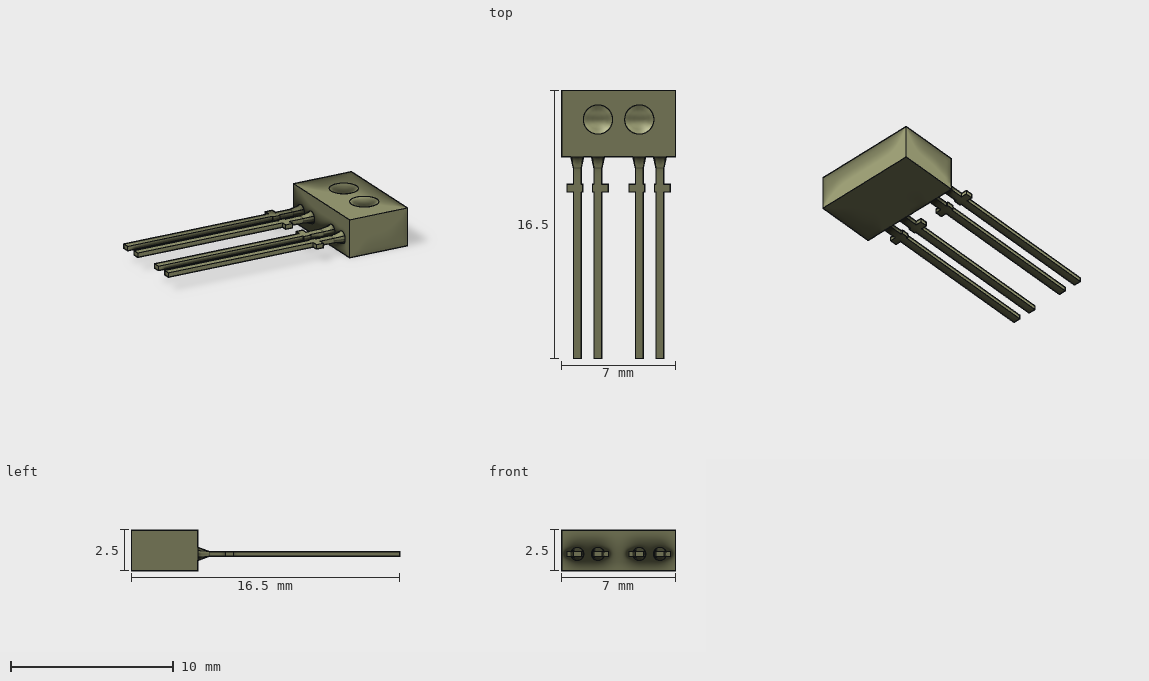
import cadquery as cq

HOUSING_WIDTH = 7.0
HOUSING_DEPTH = 4.1
HOUSING_HEIGHT = 2.5

LENS_DIAMETER = 1.8
LENS_RECESS_DEPTH = 0.23
LENS_FROM_BACK = 1.8

LEAD_PITCH = 1.27
LEAD_LENGTH = 16.5 - HOUSING_DEPTH
LEAD_WIDTH = 0.5
LEAD_THICKNESS = 0.3
LEAD_HEIGHT = 1.04

COLLAR_DIAMETER = 0.81
COLLAR_LENGTH = 0.7

TAB_START = 1.68
TAB_LENGTH = 0.5
TAB_LONG_REACH = 0.4
TAB_SHORT_REACH = 0.1

LEAD_LAYOUT = [(-2, -1), (-1, 1), (1, -1), (2, 1)]


def make_housing():
    """Rectangular block with two dished lens recesses, one per lead pair."""
    body = cq.Workplane("XY").box(
        HOUSING_WIDTH, HOUSING_DEPTH, HOUSING_HEIGHT, centered=(True, False, False)
    )
    lens_radius = LENS_DIAMETER / 2
    sphere_radius = (lens_radius**2 + LENS_RECESS_DEPTH**2) / (2 * LENS_RECESS_DEPTH)
    lens_y = HOUSING_DEPTH - LENS_FROM_BACK
    sphere_z = HOUSING_HEIGHT - LENS_RECESS_DEPTH + sphere_radius
    for side in (-1, 1):
        dish = cq.Workplane("XY").sphere(sphere_radius)
        body = body.cut(dish.translate((side * LEAD_PITCH, lens_y, sphere_z)))
    return body


def make_collar():
    """Loft from the round root on the housing face to the lead section."""
    return (
        cq.Workplane("XZ")
        .circle(COLLAR_DIAMETER / 2)
        .workplane(offset=COLLAR_LENGTH)
        .rect(LEAD_WIDTH, LEAD_THICKNESS)
        .loft(ruled=True)
    )


def make_lead(pitch_count, tab_side):
    """One lead with its collar and its offset stop tab."""
    blade_length = LEAD_LENGTH - COLLAR_LENGTH
    blade = cq.Workplane("XY").box(LEAD_WIDTH, blade_length, LEAD_THICKNESS)
    blade = blade.translate((0, -COLLAR_LENGTH - blade_length / 2, 0))

    tab_width = LEAD_WIDTH + TAB_LONG_REACH + TAB_SHORT_REACH
    tab_x = tab_side * (TAB_LONG_REACH - TAB_SHORT_REACH) / 2
    tab = cq.Workplane("XY").box(tab_width, TAB_LENGTH, LEAD_THICKNESS)
    tab = tab.translate((tab_x, -TAB_START - TAB_LENGTH / 2, 0))

    lead = blade.union(tab).union(make_collar())
    return lead.translate((pitch_count * LEAD_PITCH, 0, LEAD_HEIGHT))


housing = make_housing()
leads = [make_lead(pitch_count, tab_side) for pitch_count, tab_side in LEAD_LAYOUT]

result = cq.Compound.makeCompound([housing.solids().val(), *[lead.solids().val() for lead in leads]])